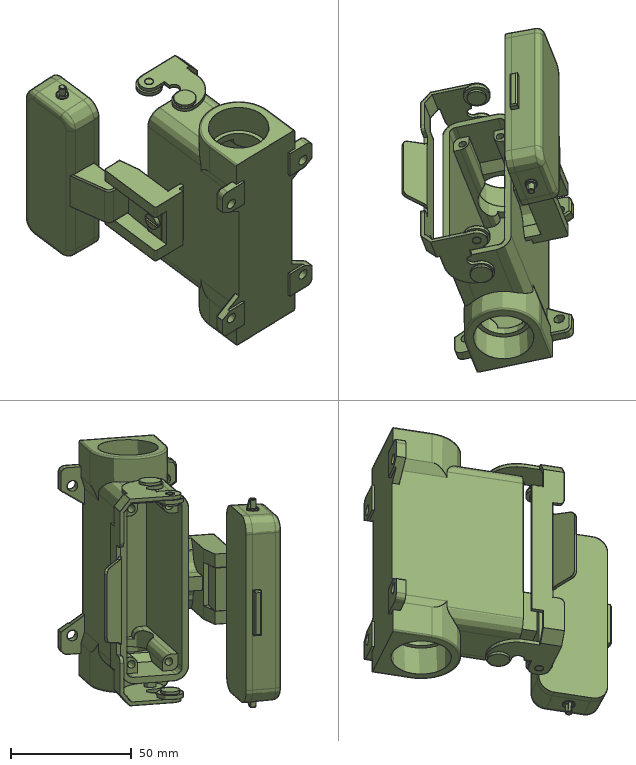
import cadquery as cq
import math


BACK_X = 16.5
FRONT_X = -39.7
HALF_DEPTH = 14.7
HALF_HEIGHT = 40.0
HOUSING_CORNER = 6.5
RIM_WALL = 2.8
FLOOR_WALL = 3.2
CAVITY_CORNER = 2.9
RAMP_RISE = 2.9
RAMP_START_X = -17.2
RAMP_END_X = -12.9
ENTRY_HALF_HEIGHT = 50.5
ENTRY_RADIUS = 16.3
ENTRY_EDGE = 0.8
BORE_RADIUS = 10.6
COUNTERBORE_RADIUS = 12.5
COUNTERBORE_DEPTH = 12.9
BLEND_TOP_Z = 35.8
BLEND_END_Z = 30.6
BOSS_WIDTH = 6.5
BOSS_HEIGHT = 7.0
BOSS_CORNER = 3.7
BOSS_RECESS = 6.4
BOSS_HOLE_INSET = 3.9
BOSS_HOLE_RADIUS = 1.6
BOSS_HOLE_DEPTH = 10.7

EAR_FRONT_X = 13.5
EAR_PAD_X = 17.6
EAR_OUTER_Y = 25.0
EAR_PAD_INNER_Y = 12.7
EAR_KNEE_Z = 30.3
EAR_ROOT_Z = 23.6
EAR_PAD_Z = 27.6
EAR_CORNER = 2.9
EAR_EDGE = 0.8
EAR_HOLE_Y = 20.0
EAR_HOLE_Z = 32.0
EAR_HOLE_RADIUS = 2.3

COVER_LEFT_X = -87.2
COVER_RIGHT_X = -57.7
COVER_RIM_Y = -25.8
COVER_STEP_Y = -28.6
COVER_FACE_Y = -41.3
COVER_CORNER = 6.7
COVER_EDGE = 2.9
COVER_DRAFT = 1.5
COVER_PIN_Y = -32.9
COVER_PIN_RADIUS = 1.4
COVER_PIN_END_Z = 44.6
COVER_COLLAR_RADIUS = 2.6
COVER_COLLAR_HEIGHT = 0.8
PIN_EMBED = 1.1
PIN_EDGE = 0.3
PIN_RIB_WIDTH = 1.3
CATCH_X = -89.8
CATCH_HALF_WIDTH = 9.6
CATCH_BOTTOM_Y = -31.8
CATCH_EDGE = 0.6

BLOCK_LEFT_X = -47.0
BLOCK_RIGHT_X = -15.5
BLOCK_FACE_Y = -32.4
BLOCK_BACK_Y = -21.7
BLOCK_NOSE_Y = -23.8
BLOCK_SLOPE_END_X = -37.5
BLOCK_HALF_WIDTH = 15.0
BLOCK_EDGE = 1.0
LEG_LEFT_X = -19.5
LEG_RIGHT_X = -17.6
LEG_STEP_Y = -17.2
STEM_LEFT_X = -36.2
STEM_HALF_WIDTH = 3.0
STEM_FLARE_RADIUS = 7.7
STEM_FLARE_X = -29.6
SLOT_HALF_WIDTH = 9.2
SLOT_FLOOR_Y = -26.2
SLOT_SLOPE_LEFT_Y = -24.9
SLOT_SLOPE_RIGHT_Y = -25.9
PAD_LEFT_X = -26.2
PAD_RIGHT_X = -18.4
PAD_HALF_WIDTH = 8.5
PAD_HEIGHT = 0.5
SCREW_X = -22.6
SCREW_RADIUS = 3.5
SCREW_HEIGHT = 1.9
SCREW_SLOT_WIDTH = 1.2
SCREW_SLOT_DEPTH = 0.9
ARM_STEP_X = -47.9
ARM_HEEL_Y = -23.8
ARM_END_X = -40.1
ARM_END_Y = -35.9
ARM_ROOT_X = -61.0
ARM_ROOT_Y = -41.2
ARM_END_RADIUS = 3.0
ARM_EDGE = 0.6

SHEET = 1.6
CHEEK_TOP_Z = 44.2
LEVER_SHIFT_Z = -0.5
CHEEK_BEND_Y = 15.3
LEVER_LEFT_X = -56.1
LEVER_RIGHT_X = -47.0
LEVER_BACK_Y = 19.5
LEVER_BEND_Z = 39.2
STRIP_RIGHT_X = -42.1
STRIP_HALF_HEIGHT = 30.7
NOTCH_LEFT_X = -51.1
NOTCH_TOP_Z = 23.4
NOTCH_BOTTOM_Z = 20.0
NOTCH_CORNER = 2.4
TAB_ROOT_HALF = 17.8
TAB_TIP_HALF = 15.6
TAB_CORNER = 2.7
TAB_TIP_X = -58.3
TAB_TIP_Y = 27.0
TAB_ROOT_X = -52.0
TAB_THICKNESS = 1.4
PIVOT_X = -33.2
PIVOT_RADIUS = 2.5
PIVOT_EYE_RADIUS = 5.4
PIVOT_HEAD_RADIUS = 4.6
PIVOT_HEAD_HEIGHT = 1.2
CHEEK_ARC_X = -40.7
CHEEK_ARC_Y = 1.0
CHEEK_ARC_RADIUS = 12.9
CHEEK_STEP_Y = 1.2
CHEEK_STEP_X = -43.8
CHEEK_NOTCH_Y = 3.9
CHEEK_NOTCH_RADIUS = 2.7
ROLLER_X = (LEVER_LEFT_X + LEVER_RIGHT_X) / 2
ROLLER_Y = -3.3
ROLLER_RADIUS = 5.5
ROLLER_HEIGHT = 1.7
ROLLER_HUB_RADIUS = 4.0
ROLLER_HUB_HEIGHT = 1.2
ROLLER_PIN_RADIUS = 1.8
ROLLER_PIN_RECESS = 0.3


def box(x0, x1, y0, y1, z0, z1):
    return cq.Workplane("XY").box(x1 - x0, y1 - y0, z1 - z0, centered=False).translate((x0, y0, z0))


def disc(x, y, z0, z1, radius):
    return cq.Workplane("XY").center(x, y).circle(radius).extrude(z1 - z0).translate((0, 0, z0))


def prism_x(points, x0, x1):
    """Extrude a (y, z) outline from x0 to x1."""
    return cq.Workplane("YZ", origin=(x0, 0, 0)).polyline(points).close().extrude(x1 - x0)


def with_mirror(solid, plane="XY"):
    """The solid joined with its mirror image."""
    return solid.union(solid.mirror(plane))


def cable_entries():
    outline = (
        cq.Workplane("XY", origin=(0, 0, -ENTRY_HALF_HEIGHT))
        .moveTo(BACK_X, -ENTRY_RADIUS)
        .lineTo(0, -ENTRY_RADIUS)
        .threePointArc((-ENTRY_RADIUS, 0), (0, ENTRY_RADIUS))
        .lineTo(BACK_X, ENTRY_RADIUS)
        .close()
    )
    entries = outline.extrude(2 * ENTRY_HALF_HEIGHT)
    rounded_ends = entries.faces("<Z or >Z").edges("not >X")
    entries = rounded_ends.fillet(ENTRY_EDGE)
    envelope_half = [
        (0, BLEND_END_Z),
        (HALF_DEPTH, BLEND_END_Z),
        (ENTRY_RADIUS, BLEND_TOP_Z),
        (ENTRY_RADIUS, ENTRY_HALF_HEIGHT),
        (0, ENTRY_HALF_HEIGHT),
    ]
    envelope = with_mirror(prism_x(envelope_half, -ENTRY_RADIUS, BACK_X), "XZ")
    return entries.intersect(with_mirror(envelope))


def cavity():
    half_y = HALF_DEPTH - RIM_WALL
    half_z = HALF_HEIGHT - RIM_WALL
    floor_x = BACK_X - FLOOR_WALL
    hollow = box(FRONT_X, floor_x, -half_y, half_y, -half_z, half_z)
    hollow = hollow.edges("|X").fillet(CAVITY_CORNER)
    ramped_ends = (
        cq.Workplane("XZ", origin=(0, half_y, 0))
        .polyline([
            (FRONT_X, -half_z),
            (FRONT_X, half_z),
            (RAMP_START_X, half_z),
            (RAMP_END_X, half_z - RAMP_RISE),
            (floor_x, half_z - RAMP_RISE),
            (floor_x, RAMP_RISE - half_z),
            (RAMP_END_X, RAMP_RISE - half_z),
            (RAMP_START_X, -half_z),
        ])
        .close()
        .extrude(2 * half_y)
    )
    hollow = hollow.intersect(ramped_ends)
    boss_x = FRONT_X + BOSS_RECESS
    boss = box(boss_x, floor_x, half_y - BOSS_WIDTH, half_y, half_z - BOSS_HEIGHT, half_z)
    boss = boss.edges("|X and <Y and <Z").fillet(BOSS_CORNER)
    hole = (
        cq.Workplane("YZ", origin=(boss_x, 0, 0))
        .center(half_y - BOSS_HOLE_INSET, half_z - BOSS_HOLE_INSET)
        .circle(BOSS_HOLE_RADIUS)
        .extrude(BOSS_HOLE_DEPTH)
    )
    bosses = with_mirror(with_mirror(boss.cut(hole), "XZ"))
    return hollow.cut(bosses)


def ear(front_edge=0):
    outline = [
        (HALF_DEPTH - RIM_WALL, EAR_ROOT_Z),
        (HALF_DEPTH, EAR_ROOT_Z),
        (EAR_OUTER_Y, EAR_KNEE_Z),
        (EAR_OUTER_Y, HALF_HEIGHT),
        (HALF_DEPTH - RIM_WALL, HALF_HEIGHT),
    ]
    plate = prism_x(outline, EAR_FRONT_X, EAR_PAD_X)
    plate = plate.edges("|X and >Y and >Z").fillet(EAR_CORNER)
    if front_edge:
        plate = plate.faces("<X").edges("not <Y").chamfer(front_edge)
    hole = (
        cq.Workplane("YZ", origin=(EAR_FRONT_X, 0, 0))
        .center(EAR_HOLE_Y, EAR_HOLE_Z)
        .circle(EAR_HOLE_RADIUS)
        .extrude(EAR_PAD_X - EAR_FRONT_X)
    )
    below_pad = box(BACK_X, EAR_PAD_X, 0, EAR_OUTER_Y, 0, EAR_PAD_Z)
    beside_pad = box(BACK_X, EAR_PAD_X, 0, EAR_PAD_INNER_Y, 0, HALF_HEIGHT)
    return plate.cut(hole).cut(below_pad).cut(beside_pad)


def housing():
    shell = box(FRONT_X, BACK_X, -HALF_DEPTH, HALF_DEPTH, -HALF_HEIGHT, HALF_HEIGHT)
    shell = shell.edges("|X").fillet(HOUSING_CORNER)
    near_ears = with_mirror(ear(EAR_EDGE).mirror("XZ"))
    shell = shell.union(cable_entries()).union(with_mirror(ear())).union(near_ears)
    bore = disc(0, 0, -ENTRY_HALF_HEIGHT, ENTRY_HALF_HEIGHT, BORE_RADIUS)
    step_z = ENTRY_HALF_HEIGHT - COUNTERBORE_DEPTH
    counterbore = disc(0, 0, step_z, ENTRY_HALF_HEIGHT, COUNTERBORE_RADIUS)
    return shell.cut(cavity()).cut(bore).cut(with_mirror(counterbore))


def cover():
    center_x = (COVER_LEFT_X + COVER_RIGHT_X) / 2
    width = COVER_RIGHT_X - COVER_LEFT_X

    def slab(start_y, depth, draft):
        return (
            cq.Workplane("XZ", origin=(center_x, start_y, 0))
            .sketch()
            .rect(width, 2 * HALF_HEIGHT)
            .vertices()
            .fillet(COVER_CORNER)
            .finalize()
            .extrude(depth, taper=draft)
        )

    rim = slab(COVER_RIM_Y, COVER_RIM_Y - COVER_STEP_Y, 0)
    lid = slab(COVER_STEP_Y, COVER_STEP_Y - COVER_FACE_Y, COVER_DRAFT)
    lid = lid.faces("<Y").edges().fillet(COVER_EDGE)

    pin_root_z = HALF_HEIGHT - PIN_EMBED
    pin = disc(center_x, COVER_PIN_Y, pin_root_z, COVER_PIN_END_Z, COVER_PIN_RADIUS)
    pin = pin.faces(">Z").edges().chamfer(PIN_EDGE)
    collar_top_z = HALF_HEIGHT + COVER_COLLAR_HEIGHT
    collar = disc(center_x, COVER_PIN_Y, pin_root_z, collar_top_z, COVER_COLLAR_RADIUS)
    collar = collar.faces(">Z").edges().chamfer(COVER_COLLAR_HEIGHT - PIN_EDGE)

    rib = prism_x(
        [
            (COVER_PIN_Y, pin_root_z),
            (COVER_PIN_Y + COVER_COLLAR_RADIUS, pin_root_z),
            (COVER_PIN_Y + COVER_COLLAR_RADIUS, HALF_HEIGHT),
            (COVER_PIN_Y + COVER_PIN_RADIUS, COVER_PIN_END_Z - PIN_EDGE),
            (COVER_PIN_Y, COVER_PIN_END_Z - PIN_EDGE),
        ],
        center_x - PIN_RIB_WIDTH / 2, center_x + PIN_RIB_WIDTH / 2,
    )
    pin = pin.union(collar).union(rib)

    catch = box(
        CATCH_X, center_x, CATCH_BOTTOM_Y, COVER_STEP_Y, -CATCH_HALF_WIDTH, CATCH_HALF_WIDTH
    )
    catch = catch.faces("<X").edges().chamfer(CATCH_EDGE)
    return rim.union(lid).union(catch).union(with_mirror(pin))


def hinge_block():
    block = (
        cq.Workplane("XY", origin=(0, 0, -BLOCK_HALF_WIDTH))
        .polyline([
            (BLOCK_LEFT_X, BLOCK_FACE_Y),
            (BLOCK_RIGHT_X, BLOCK_FACE_Y),
            (BLOCK_RIGHT_X, LEG_STEP_Y),
            (LEG_RIGHT_X, LEG_STEP_Y),
            (LEG_RIGHT_X, -HALF_DEPTH),
            (LEG_LEFT_X, -HALF_DEPTH),
            (LEG_LEFT_X, BLOCK_BACK_Y),
            (BLOCK_SLOPE_END_X, BLOCK_BACK_Y),
            (BLOCK_LEFT_X, BLOCK_NOSE_Y),
        ])
        .close()
        .extrude(2 * BLOCK_HALF_WIDTH)
    )
    block = block.faces("<Y").edges("|Z").fillet(BLOCK_EDGE)
    slot = (
        cq.Workplane("XY", origin=(0, 0, -SLOT_HALF_WIDTH))
        .polyline([
            (BLOCK_LEFT_X, BLOCK_FACE_Y),
            (BLOCK_RIGHT_X, BLOCK_FACE_Y),
            (BLOCK_RIGHT_X, SLOT_FLOOR_Y),
            (PAD_LEFT_X, SLOT_FLOOR_Y),
            (PAD_LEFT_X, SLOT_SLOPE_RIGHT_Y),
            (BLOCK_LEFT_X, SLOT_SLOPE_LEFT_Y),
        ])
        .close()
        .extrude(2 * SLOT_HALF_WIDTH)
    )
    nose_gap = box(
        BLOCK_LEFT_X, BLOCK_SLOPE_END_X, BLOCK_NOSE_Y, BLOCK_BACK_Y,
        -SLOT_HALF_WIDTH, SLOT_HALF_WIDTH,
    )
    pad_face_y = SLOT_FLOOR_Y - PAD_HEIGHT
    pad = box(PAD_LEFT_X, PAD_RIGHT_X, pad_face_y, SLOT_FLOOR_Y, -PAD_HALF_WIDTH, PAD_HALF_WIDTH)
    head_face_y = pad_face_y - SCREW_HEIGHT
    head = (
        cq.Workplane("XZ", origin=(SCREW_X, SLOT_FLOOR_Y, 0))
        .circle(SCREW_RADIUS)
        .extrude(SLOT_FLOOR_Y - head_face_y)
    )
    driver_slot = box(
        SCREW_X - SCREW_RADIUS, SCREW_X + SCREW_RADIUS,
        head_face_y, head_face_y + SCREW_SLOT_DEPTH,
        -SCREW_SLOT_WIDTH / 2, SCREW_SLOT_WIDTH / 2,
    )
    return block.cut(slot).cut(nose_gap).union(pad).union(head.cut(driver_slot))


def hinge_stem():
    """Rib between housing and block that flares out towards the block's leg."""
    flare_end_x = STEM_FLARE_X + STEM_FLARE_RADIUS
    flare_end_z = STEM_HALF_WIDTH + STEM_FLARE_RADIUS
    half_turn = STEM_FLARE_RADIUS * math.sqrt(0.5)
    half = (
        cq.Workplane("XZ", origin=(0, -HALF_DEPTH, 0))
        .moveTo(STEM_LEFT_X, 0)
        .lineTo(STEM_LEFT_X, STEM_HALF_WIDTH)
        .lineTo(STEM_FLARE_X, STEM_HALF_WIDTH)
        .threePointArc((STEM_FLARE_X + half_turn, flare_end_z - half_turn), (flare_end_x, flare_end_z))
        .lineTo(LEG_LEFT_X, BLOCK_HALF_WIDTH)
        .lineTo(LEG_LEFT_X, 0)
        .close()
        .extrude(-HALF_DEPTH - BLOCK_BACK_Y)
    )
    return with_mirror(half)


def hinge_arm():
    arm = (
        cq.Workplane("XY", origin=(0, 0, -SLOT_HALF_WIDTH))
        .polyline([
            (ARM_ROOT_X, COVER_STEP_Y),
            (ARM_STEP_X, COVER_STEP_Y),
            (ARM_STEP_X, ARM_HEEL_Y),
            (BLOCK_LEFT_X, ARM_HEEL_Y),
            (ARM_END_X, SLOT_SLOPE_LEFT_Y),
            (ARM_END_X, ARM_END_Y),
            (ARM_ROOT_X, ARM_ROOT_Y),
        ])
        .close()
        .extrude(2 * SLOT_HALF_WIDTH)
    )
    end_corner = cq.selectors.NearestToPointSelector((ARM_END_X, ARM_END_Y, 0))
    arm = arm.edges(end_corner).fillet(ARM_END_RADIUS)
    underside = cq.selectors.NearestToPointSelector(
        ((ARM_END_X + ARM_ROOT_X) / 2, (ARM_END_Y + ARM_ROOT_Y) / 2, 0)
    )
    return arm.faces(underside).edges("not |Z").chamfer(ARM_EDGE)


def lever_cheek():
    """Side plate with the pivot eye, the roller eye and the cover-pin notch between them."""
    root_half = (LEVER_RIGHT_X - LEVER_LEFT_X) / 2
    arc_mid = CHEEK_ARC_RADIUS * math.sqrt(0.5)
    eye_left_x = PIVOT_X - PIVOT_EYE_RADIUS
    notch_left_x = CHEEK_STEP_X + CHEEK_NOTCH_RADIUS
    cheek = (
        cq.Workplane("XY", origin=(0, 0, CHEEK_TOP_Z - SHEET))
        .moveTo(LEVER_LEFT_X, CHEEK_BEND_Y)
        .lineTo(LEVER_LEFT_X, ROLLER_Y)
        .threePointArc((ROLLER_X, ROLLER_Y - root_half), (LEVER_RIGHT_X, ROLLER_Y))
        .lineTo(LEVER_RIGHT_X, CHEEK_STEP_Y)
        .lineTo(CHEEK_STEP_X, CHEEK_STEP_Y)
        .radiusArc((notch_left_x, CHEEK_NOTCH_Y), CHEEK_NOTCH_RADIUS)
        .radiusArc((eye_left_x, CHEEK_STEP_Y), CHEEK_NOTCH_RADIUS)
        .lineTo(eye_left_x, 0)
        .threePointArc((PIVOT_X, -PIVOT_EYE_RADIUS), (PIVOT_X + PIVOT_EYE_RADIUS, 0))
        .lineTo(CHEEK_ARC_X + CHEEK_ARC_RADIUS, CHEEK_ARC_Y)
        .threePointArc(
            (CHEEK_ARC_X + arc_mid, CHEEK_ARC_Y + arc_mid),
            (CHEEK_ARC_X, CHEEK_ARC_Y + CHEEK_ARC_RADIUS),
        )
        .lineTo(LEVER_RIGHT_X, CHEEK_ARC_Y + CHEEK_ARC_RADIUS)
        .lineTo(LEVER_RIGHT_X, CHEEK_BEND_Y)
        .close()
        .extrude(SHEET)
    )
    pin_recess = disc(ROLLER_X, ROLLER_Y, CHEEK_TOP_Z - ROLLER_PIN_RECESS, CHEEK_TOP_Z, ROLLER_PIN_RADIUS)
    return cheek.cut(pin_recess)


def lever_bend():
    """Sloping strip that joins a cheek to the back strip."""
    inset = SHEET * math.tan(math.pi / 8)
    section = [
        (CHEEK_BEND_Y, CHEEK_TOP_Z),
        (LEVER_BACK_Y, LEVER_BEND_Z),
        (LEVER_BACK_Y - SHEET, LEVER_BEND_Z - inset),
        (CHEEK_BEND_Y - inset, CHEEK_TOP_Z - SHEET),
    ]
    return prism_x(section, LEVER_LEFT_X, LEVER_RIGHT_X)


def lever_pins():
    cheek_bottom_z = CHEEK_TOP_Z - SHEET
    pivot = disc(PIVOT_X, 0, HALF_HEIGHT - RIM_WALL / 2, cheek_bottom_z, PIVOT_RADIUS)
    head = disc(PIVOT_X, 0, CHEEK_TOP_Z, CHEEK_TOP_Z + PIVOT_HEAD_HEIGHT, PIVOT_HEAD_RADIUS)
    roller_bottom_z = cheek_bottom_z - ROLLER_HEIGHT
    roller = disc(ROLLER_X, ROLLER_Y, roller_bottom_z, cheek_bottom_z, ROLLER_RADIUS)
    hub_bottom_z = roller_bottom_z - ROLLER_HUB_HEIGHT
    hub = disc(ROLLER_X, ROLLER_Y, hub_bottom_z, roller_bottom_z, ROLLER_HUB_RADIUS)
    return pivot.union(head).union(roller).union(hub)


def lever_strip():
    """Flat back of the lever, notched on the left beside the finger tab."""
    front_y = LEVER_BACK_Y - SHEET
    inset = SHEET * math.tan(math.pi / 8)
    bend_z = LEVER_BEND_Z - inset
    narrow = box(LEVER_LEFT_X, LEVER_RIGHT_X, front_y, LEVER_BACK_Y, -LEVER_BEND_Z, LEVER_BEND_Z)
    narrow = narrow.intersect(with_mirror(prism_x(
        [(front_y, 0), (front_y, bend_z), (LEVER_BACK_Y, LEVER_BEND_Z), (LEVER_BACK_Y, 0)],
        LEVER_LEFT_X, LEVER_RIGHT_X,
    )))
    wide = box(
        NOTCH_LEFT_X, STRIP_RIGHT_X, front_y, LEVER_BACK_Y, -STRIP_HALF_HEIGHT, STRIP_HALF_HEIGHT
    )
    opening = box(LEVER_LEFT_X, NOTCH_LEFT_X, front_y, LEVER_BACK_Y, -NOTCH_TOP_Z, NOTCH_TOP_Z)
    narrow = narrow.cut(opening)
    middle_y = (front_y + LEVER_BACK_Y) / 2
    for corner_z in (-NOTCH_TOP_Z, NOTCH_TOP_Z):
        corner = cq.selectors.NearestToPointSelector((LEVER_LEFT_X, middle_y, corner_z))
        narrow = narrow.edges(corner).fillet(NOTCH_CORNER)
    return narrow.union(wide)


def finger_tab():
    """Handle that leans outwards from the left edge of the back strip."""
    run = TAB_ROOT_X - TAB_TIP_X
    rise = TAB_TIP_Y - LEVER_BACK_Y
    length = math.hypot(run, rise)
    along = cq.Vector(-run / length, rise / length, 0)
    normal = cq.Vector(rise / length, run / length, 0)
    overlap = 2 * SHEET
    plane = cq.Plane(origin=(TAB_ROOT_X, LEVER_BACK_Y, 0), xDir=along, normal=normal * -1)
    tab = (
        cq.Workplane(plane)
        .polyline([
            (-overlap, -NOTCH_BOTTOM_Z),
            (0, -TAB_ROOT_HALF),
            (length, -TAB_TIP_HALF),
            (length, TAB_TIP_HALF),
            (0, TAB_ROOT_HALF),
            (-overlap, NOTCH_BOTTOM_Z),
        ])
        .close()
        .extrude(TAB_THICKNESS)
    )
    tip = cq.selectors.DirectionMinMaxSelector(along)
    tip_corners = tab.faces(tip).edges("not |Z")
    tab = tip_corners.fillet(TAB_CORNER)
    below_strip = box(
        TAB_TIP_X, STRIP_RIGHT_X, 0, LEVER_BACK_Y - SHEET, -NOTCH_TOP_Z, NOTCH_TOP_Z
    )
    return tab.cut(below_strip)


def lever():
    end = lever_cheek().union(lever_bend()).union(lever_pins())
    return lever_strip().union(finger_tab()).union(with_mirror(end)).translate((0, 0, LEVER_SHIFT_Z))


result = (
    housing()
    .union(hinge_stem())
    .union(hinge_block())
    .union(hinge_arm())
    .union(cover())
    .union(lever())
)